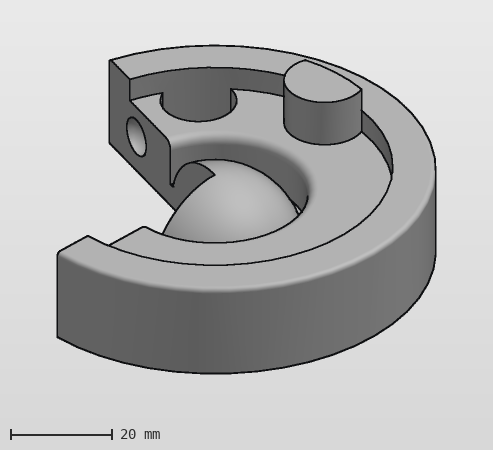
import cadquery as cq
import math

START_ANGLE = -74.0
END_ANGLE = 180.0
OUTER_RADIUS = 43.5
RIM_HEIGHT = 20.0
RIM_FILLET = 1.0

RECESS_RADIUS = 35.0
RECESS_FLOOR = 15.0

DOME_RADIUS = 18.0
GROOVE_RADIUS = 18.25
GROOVE_FLOOR = 5.0
GROOVE_LIP_FILLET = 2.0

PIN_DIAMETER = 16.0
PIN_CENTER = (-10.0, 30.0)
PIN_TOP = 25.0
HOLE_DIAMETER = 15.0
HOLE_CENTER = (-28.6, 11.9)

DIMPLE_DIAMETER = 8.0
DIMPLE_X = -32.25
DIMPLE_Z = 8.0


def on_circle(center, radius, angle):
    """Point on a circle at the given angle in degrees."""
    a = math.radians(angle)
    return (center[0] + radius * math.cos(a), center[1] + radius * math.sin(a))


def disc_sector():
    """Half section of rim, recess, groove and dome, revolved through the sector."""
    dome_foot_angle = math.degrees(math.asin(GROOVE_FLOOR / DOME_RADIUS))
    dome_middle_angle = (90.0 + dome_foot_angle) / 2
    lip_center = (GROOVE_RADIUS + GROOVE_LIP_FILLET, RECESS_FLOOR - GROOVE_LIP_FILLET)
    rim_center = (OUTER_RADIUS - RIM_FILLET, RIM_HEIGHT - RIM_FILLET)
    profile = (
        cq.Workplane("XZ")
        .lineTo(OUTER_RADIUS, 0)
        .lineTo(OUTER_RADIUS, rim_center[1])
        .threePointArc(on_circle(rim_center, RIM_FILLET, 45), (rim_center[0], RIM_HEIGHT))
        .lineTo(RECESS_RADIUS, RIM_HEIGHT)
        .lineTo(RECESS_RADIUS, RECESS_FLOOR)
        .lineTo(lip_center[0], RECESS_FLOOR)
        .threePointArc(on_circle(lip_center, GROOVE_LIP_FILLET, 135), (GROOVE_RADIUS, lip_center[1]))
        .lineTo(GROOVE_RADIUS, GROOVE_FLOOR)
        .lineTo(*on_circle((0, 0), DOME_RADIUS, dome_foot_angle))
        .threePointArc(on_circle((0, 0), DOME_RADIUS, dome_middle_angle), (0, DOME_RADIUS))
        .close()
    )
    sector = profile.revolve(END_ANGLE - START_ANGLE, (0, 0), (0, -1))
    return sector.rotate((0, 0, 0), (0, 0, 1), END_ANGLE)


def trimmed_cylinder(center, diameter, bottom, top):
    """Upright cylinder, cut off where it would pass the recess wall."""
    height = top - bottom
    base = cq.Workplane("XY", origin=(0, 0, bottom))
    recess_column = base.circle(RECESS_RADIUS).extrude(height)
    return base.center(*center).circle(diameter / 2).extrude(height).intersect(recess_column)


def pin():
    return trimmed_cylinder(PIN_CENTER, PIN_DIAMETER, 0, PIN_TOP)


def hole():
    return trimmed_cylinder(HOLE_CENTER, HOLE_DIAMETER, 0, RECESS_FLOOR)


def dimple():
    return cq.Workplane("XY", origin=(DIMPLE_X, 0, DIMPLE_Z)).sphere(DIMPLE_DIAMETER / 2)


result = disc_sector().union(pin()).cut(hole()).cut(dimple())